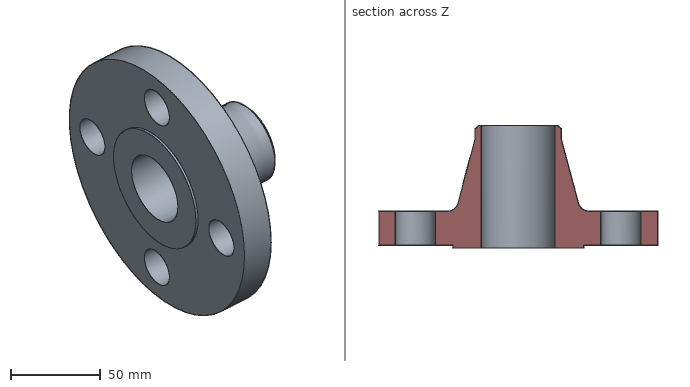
import cadquery as cq
import math

flange_diameter = 155.4
flange_thickness = 19.1
face_diameter = 73.0
face_height = 1.5
bore_diameter = 41.0

bolt_count = 4
bolt_hole_diameter = 22.2
bolt_circle_diameter = 114.4

overall_length = 68.4
neck_end_diameter = 48.2
neck_straight_length = 7.8
taper_angle = 15.0
neck_blend_radius = 5.9
end_bevel_length = 1.9
end_bevel_depth = 2.2

front_y = -overall_length / 2
plate_front_y = front_y + face_height
plate_back_y = plate_front_y + flange_thickness
back_y = overall_length / 2
taper_end_y = back_y - neck_straight_length

neck_end_radius = neck_end_diameter / 2
taper_length = taper_end_y - plate_back_y
taper_base_radius = neck_end_radius + taper_length * math.tan(math.radians(taper_angle))


def make_body():
    """Revolve the outer half-profile of plate, face and neck around the Y axis."""
    profile = (
        cq.Workplane("XY")
        .moveTo(0, front_y)
        .lineTo(face_diameter / 2, front_y)
        .lineTo(face_diameter / 2, plate_front_y)
        .lineTo(flange_diameter / 2, plate_front_y)
        .lineTo(flange_diameter / 2, plate_back_y)
        .lineTo(taper_base_radius, plate_back_y)
        .lineTo(neck_end_radius, taper_end_y)
        .lineTo(neck_end_radius, back_y - end_bevel_length)
        .lineTo(neck_end_radius - end_bevel_depth, back_y)
        .lineTo(0, back_y)
        .close()
    )
    return profile.revolve(360, (0, 0, 0), (0, 1, 0))


def blend_neck(body):
    """Round the corners at both ends of the taper."""
    margin = 0.2
    for corner_y, radius in ((plate_back_y, taper_base_radius), (taper_end_y, neck_end_radius)):
        reach = radius + margin
        corner = cq.selectors.BoxSelector(
            (-reach, corner_y - margin, -reach),
            (reach, corner_y + margin, reach),
            boundingbox=True,
        )
        body = body.edges(corner).fillet(neck_blend_radius)
    return body


def through_hole(diameter):
    """Cutter along Y, as long as the whole part."""
    return (
        cq.Workplane("XZ", origin=(0, front_y, 0))
        .circle(diameter / 2)
        .extrude(-overall_length)
    )


def bolt_holes():
    """Cutters evenly spaced on the bolt circle, the first one on the X axis."""
    return (
        cq.Workplane("XZ", origin=(0, plate_front_y, 0))
        .polarArray(bolt_circle_diameter / 2, 0, 360, bolt_count)
        .circle(bolt_hole_diameter / 2)
        .extrude(-flange_thickness)
    )


body = blend_neck(make_body())
result = body.cut(through_hole(bore_diameter)).cut(bolt_holes())